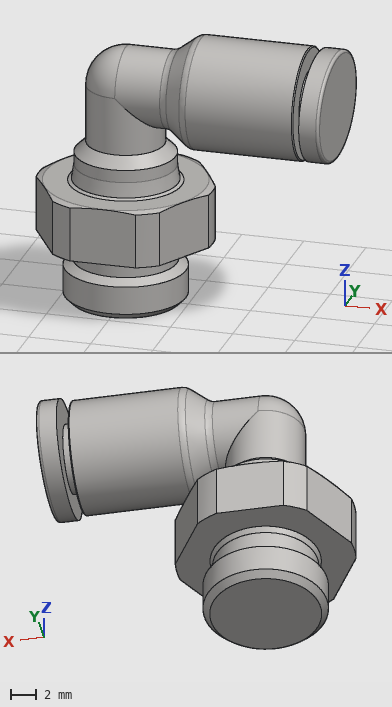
import cadquery as cq
import math


pipe_radius = 3.1
socket_axis_z = 17.79

thread_radius = 4.87
thread_chamfer = 0.53
thread_shoulder_z = 2.8
relief_radius = 4.12
relief_bottom_z = 3.3
relief_top_z = 4.77
nut_seat_radius = 4.31

nut_bottom_z = 5.25
nut_top_z = 9.83
nut_across_flats = 13.0
nut_corner_radius = 7.01
nut_face_radius = 6.45
nut_chamfer_height = 0.17

collar_foot_radius = 4.5
collar_base_radius = 4.22
collar_base_z = 9.98
collar_radius = 4.02
collar_taper_top_z = 11.18
collar_top_z = 12.2
pipe_start_z = 13.09

socket_radius = 4.5
socket_cone_start_x = 3.93
socket_cone_end_x = 5.75
socket_blend_radius = 0.92
socket_end_x = 14.73
socket_end_chamfer = 0.1

neck_radius = 2.75
button_start_x = 15.47
button_end_x = 17.09
button_half_width = 5.4
button_half_height = 4.31
button_fillet = 0.25


def make_stem():
    """Revolved threaded end, collar and vertical pipe."""
    return (
        cq.Workplane("XZ")
        .moveTo(0, 0)
        .lineTo(thread_radius - thread_chamfer, 0)
        .lineTo(thread_radius, thread_chamfer)
        .lineTo(thread_radius, thread_shoulder_z)
        .lineTo(relief_radius, relief_bottom_z)
        .lineTo(relief_radius, relief_top_z)
        .lineTo(nut_seat_radius, nut_bottom_z)
        .lineTo(collar_foot_radius, nut_bottom_z)
        .lineTo(collar_foot_radius, nut_top_z)
        .lineTo(collar_base_radius, collar_base_z)
        .lineTo(collar_radius, collar_taper_top_z)
        .lineTo(collar_radius, collar_top_z)
        .lineTo(pipe_radius, pipe_start_z)
        .lineTo(pipe_radius, socket_axis_z)
        .lineTo(0, socket_axis_z)
        .close()
        .revolve(360, (0, 0), (0, 1))
    )


def make_nut():
    """Hexagon with rounded corners and a shallow conical chamfer on the top face."""
    height = nut_top_z - nut_bottom_z
    across_corners = nut_across_flats / math.cos(math.pi / 6)
    hexagon = (
        cq.Workplane("XY", origin=(0, 0, nut_bottom_z))
        .polygon(6, across_corners)
        .extrude(height)
    )
    turned_blank = (
        cq.Workplane("XY", origin=(0, 0, nut_bottom_z))
        .circle(nut_corner_radius)
        .extrude(height)
        .faces(">Z")
        .chamfer(nut_chamfer_height, nut_corner_radius - nut_face_radius)
    )
    return hexagon.intersect(turned_blank)


def make_socket():
    """Horizontal pipe that flares through a blended cone into the tube socket."""
    margin = socket_blend_radius / 2
    reach = socket_radius + margin
    blend_edges = cq.selectors.BoxSelector(
        (socket_cone_start_x - margin, -reach, socket_axis_z - reach),
        (socket_cone_end_x + margin, reach, socket_axis_z + reach),
    )
    return (
        cq.Workplane("XY", origin=(0, 0, socket_axis_z))
        .moveTo(0, 0)
        .lineTo(0, pipe_radius)
        .lineTo(socket_cone_start_x, pipe_radius)
        .lineTo(socket_cone_end_x, socket_radius)
        .lineTo(socket_end_x, socket_radius)
        .lineTo(socket_end_x, 0)
        .close()
        .revolve(360, (0, 0), (1, 0))
        .faces(">X")
        .chamfer(socket_end_chamfer)
        .edges(blend_edges)
        .edges("%CIRCLE")
        .fillet(socket_blend_radius)
    )


def make_release_button():
    """Round neck carrying an oval flange with a rounded outer rim."""
    neck = (
        cq.Workplane("YZ", origin=(socket_end_x, 0, socket_axis_z))
        .circle(neck_radius)
        .extrude(button_start_x - socket_end_x)
    )
    flange = (
        cq.Workplane("YZ", origin=(button_start_x, 0, socket_axis_z))
        .ellipse(button_half_width, button_half_height)
        .extrude(button_end_x - button_start_x)
        .faces(">X")
        .edges()
        .fillet(button_fillet)
    )
    return neck.union(flange)


elbow_ball = cq.Workplane("XY", origin=(0, 0, socket_axis_z)).sphere(pipe_radius)

result = (
    make_stem()
    .union(make_nut())
    .union(elbow_ball)
    .union(make_socket())
    .union(make_release_button())
)